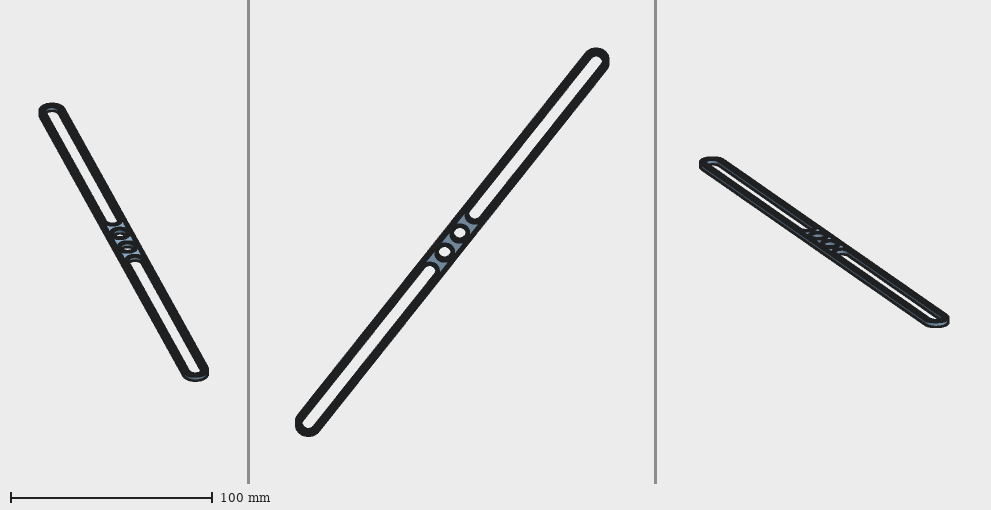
import cadquery as cq
length = 250.0
width = 12.5
thickness = 3.0

pitch = 12.5
bore_diameter = 7.0
collar_diameter = 9.2

rim_width = 1.2
edge_chamfer = 0.3
recess_depth = 0.5

half_thickness = thickness / 2
floor_height = half_thickness - recess_depth

hole_centre = pitch / 2
slot_inner_centre = hole_centre + pitch
slot_outer_centre = (length - width) / 2
slot_spacing = slot_outer_centre - slot_inner_centre
slot_middle = (slot_inner_centre + slot_outer_centre) / 2


def rounded_bar(inset, half_height):
    """Round-ended bar about the origin, its outline moved inwards by the inset."""
    outline = cq.Workplane("XY").slot2D(length - 2 * inset, width - 2 * inset)
    return outline.extrude(half_height, both=True)


def round_posts(diameter):
    """Full-height posts at the two round holes."""
    centres = [(-hole_centre, 0), (hole_centre, 0)]
    return cq.Workplane("XY").pushPoints(centres).circle(diameter / 2).extrude(half_thickness, both=True)


def slot_posts(diameter):
    """Full-height round-ended posts at the two long slots."""
    middles = cq.Workplane("XY").pushPoints([(-slot_middle, 0), (slot_middle, 0)])
    return middles.slot2D(slot_spacing + diameter, diameter).extrude(half_thickness, both=True)


def chamfer_cutters():
    """Tapered cutters that bevel both ends of every hole and slot."""
    mouth_diameter = bore_diameter + 2 * edge_chamfer
    top = cq.Workplane("XY").workplane(offset=half_thickness)
    hole_points = [(-hole_centre, 0), (hole_centre, 0)]
    slot_points = [(-slot_middle, 0), (slot_middle, 0)]
    holes = top.pushPoints(hole_points).circle(mouth_diameter / 2)
    holes = holes.extrude(-edge_chamfer, taper=45)
    slots = top.pushPoints(slot_points).slot2D(slot_spacing + mouth_diameter, mouth_diameter)
    slots = slots.extrude(-edge_chamfer, taper=45)
    upper = holes.union(slots)
    return upper.union(upper.mirror("XY"))


bar = rounded_bar(0, half_thickness).faces("|Z").edges().chamfer(edge_chamfer)

recess = rounded_bar(rim_width, half_thickness).cut(rounded_bar(0, floor_height))
bar = bar.cut(recess)

bar = bar.union(round_posts(collar_diameter)).union(slot_posts(collar_diameter))

bar = bar.cut(round_posts(bore_diameter)).cut(slot_posts(bore_diameter))
result = bar.cut(chamfer_cutters())